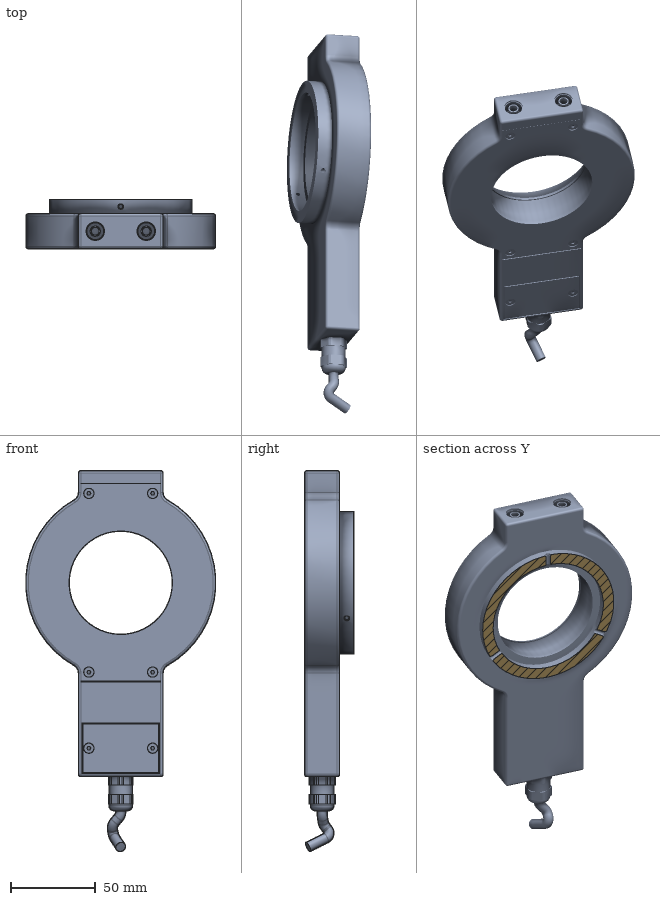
import cadquery as cq
import math

DISC_DIAMETER = 112.0
NECK_WIDTH = 50.0
HEAD_TOP = 66.0
TAIL_BOTTOM = -114.2
BODY_DEPTH = 20.7
NECK_FILLET = 5.0
EDGE_FILLET = 1.5
BORE_LIP_DIAMETER = 60.6
FRONT_LIP_LENGTH = 1.0
BACK_LIP_LENGTH = 1.5
BORE_DIAMETER = 62.0
BODY_MID_Y = BODY_DEPTH / 2

RING_DIAMETER = 84.0
RING_BORE = 70.0
RING_HEIGHT = 8.35
SET_SCREW_DIAMETER = 3.2
SET_SCREW_SINK = 1.0
SET_SCREW_CORE_DIAMETER = 2.46
SET_SCREW_ANGLES = (90, 210, 330)

HEAD_SEAM_Z = 58.4
HEAD_SEAM_WIDTH = 0.1
GROOVE_WIDTH = 0.6
GROOVE_DEPTH = 0.5
PANEL_SEAM_Z = -58.1
COVER_TOP_Z = -82.5
COVER_MARGIN = 2.1
COVER_BOTTOM_MARGIN = 1.9
SCREW_X = 18.8
SCREW_ROWS_Z = (52.6, -52.6, -97.4)
SCREW_HEAD_DIAMETER = 6.0
SCREW_HEAD_SINK = 0.5
SCREW_SOCKET_DIAMETER = 2.3
SCREW_SOCKET_DEPTH = 1.5

SOCKET_X = 15.0
SOCKET_DIAMETER = 10.0
SOCKET_RIM_DIAMETER = 10.8
SOCKET_DEPTH = 8.0
SLEEVE_DIAMETER = 6.0
SLEEVE_BORE = 4.6
SLEEVE_SINK = 1.0

GLAND_DIAMETER = 14.0
GLAND_LENGTH = 20.1
GLAND_DOME_FILLET = 3.2
NUT_ACROSS_FLATS = 14.3
NUT_CORNER_DIAMETER = 15.7
NUT_RECESS_WIDTH = 4.6
NUT_RECESS_DEPTH = 0.12
UPPER_NUT = (0.0, 4.8)
LOWER_NUT = (10.6, 5.6)

CABLE_DIAMETER = 6.0
CABLE_OVERLAP = 1.0
CABLE_CORNERS = (
    (0.0, 0.0, -136.8),
    (-5.0, 0.9, -142.6),
    (-4.7, 6.0, -148.4),
)
CABLE_BEND_RADII = (5.5, 5.0, 3.5)
CABLE_END = (0.0, -8.3, -155.57)


def front_plane(y=0.0):
    """Sketch plane facing -Y, with local x along X and local y along Z."""
    return cq.Workplane("XZ", origin=(0, y, 0))


def make_housing():
    """Disc and neck joined by concave fillets, with every outer edge rounded."""
    neck_height = HEAD_TOP - TAIL_BOTTOM
    neck_mid = (HEAD_TOP + TAIL_BOTTOM) / 2
    disc = front_plane().circle(DISC_DIAMETER / 2).extrude(-BODY_DEPTH)
    neck = front_plane().center(0, neck_mid).rect(NECK_WIDTH, neck_height).extrude(-BODY_DEPTH)
    corners = cq.selectors.BoxSelector(
        (-NECK_WIDTH, -BODY_DEPTH, -DISC_DIAMETER / 2),
        (NECK_WIDTH, 2 * BODY_DEPTH, DISC_DIAMETER / 2),
    )
    housing = disc.union(neck)
    housing = housing.edges("|Y").edges(corners).fillet(NECK_FILLET)
    housing = housing.edges("|Y").edges(">Z or <Z").fillet(EDGE_FILLET)
    return housing.faces("<Y or >Y").edges().fillet(EDGE_FILLET)


def add_ring(body):
    """Clamping ring with radial set screws, and a bore with a narrow lip at both ends of the body."""
    ring = front_plane(BODY_DEPTH).circle(RING_DIAMETER / 2).extrude(-RING_HEIGHT)
    body = body.union(ring)
    body = body.cut(front_plane().circle(BORE_LIP_DIAMETER / 2).extrude(-BODY_DEPTH))
    wide_bore_length = BODY_DEPTH - FRONT_LIP_LENGTH - BACK_LIP_LENGTH
    wide_bore = front_plane(FRONT_LIP_LENGTH).circle(BORE_DIAMETER / 2).extrude(-wide_bore_length)
    body = body.cut(wide_bore)
    body = body.cut(front_plane(BODY_DEPTH).circle(RING_BORE / 2).extrude(-RING_HEIGHT))
    return cut_set_screws(body)


def cut_set_screws(body):
    """Stepped radial holes through the ring wall."""
    center = cq.Vector(0, BODY_DEPTH + RING_HEIGHT / 2, 0)
    for angle in SET_SCREW_ANGLES:
        inward = cq.Vector(-math.cos(math.radians(angle)), 0, -math.sin(math.radians(angle)))
        mouth = center - inward * (RING_DIAMETER / 2)
        head = cq.Solid.makeCylinder(SET_SCREW_DIAMETER / 2, SET_SCREW_SINK, mouth, inward)
        core = cq.Solid.makeCylinder(SET_SCREW_CORE_DIAMETER / 2, RING_DIAMETER / 2, mouth, inward)
        body = body.cut(cq.Workplane(head)).cut(cq.Workplane(core))
    return body


def cut_front_seams(body):
    """Hairline seam below the head, groove above the panel and groove around the cover."""
    flat_width = NECK_WIDTH - 2 * EDGE_FILLET
    for seam_z, seam_width in ((HEAD_SEAM_Z, HEAD_SEAM_WIDTH), (PANEL_SEAM_Z, GROOVE_WIDTH)):
        seam = front_plane().center(0, seam_z).rect(flat_width, seam_width)
        body = body.cut(seam.extrude(-GROOVE_DEPTH))

    cover_width = NECK_WIDTH - 2 * COVER_MARGIN
    cover_bottom = TAIL_BOTTOM + COVER_BOTTOM_MARGIN
    cover_height = COVER_TOP_Z - cover_bottom
    cover_mid = (COVER_TOP_Z + cover_bottom) / 2
    cover_groove = (
        front_plane()
        .center(0, cover_mid)
        .rect(cover_width, cover_height)
        .rect(cover_width - 2 * GROOVE_WIDTH, cover_height - 2 * GROOVE_WIDTH)
    )
    return body.cut(cover_groove.extrude(-GROOVE_DEPTH))


def cut_front_screws(body):
    """Sunken screw heads with hexagon sockets."""
    places = [(side * SCREW_X, z) for z in SCREW_ROWS_Z for side in (-1, 1)]
    heads = front_plane().pushPoints(places).circle(SCREW_HEAD_DIAMETER / 2).extrude(-SCREW_HEAD_SINK)
    sockets = front_plane().pushPoints(places).polygon(6, SCREW_SOCKET_DIAMETER).extrude(-SCREW_SOCKET_DEPTH)
    return body.cut(heads).cut(sockets)


def cut_head_sockets(body):
    """Round sockets in the top of the head, each with a rim step and a central sleeve."""
    places = [(side * SOCKET_X, BODY_MID_Y) for side in (-1, 1)]
    top = cq.Workplane(origin=(0, 0, HEAD_TOP)).pushPoints(places)
    rims = top.circle(SOCKET_RIM_DIAMETER / 2).extrude(-SLEEVE_SINK)
    wells = top.circle(SOCKET_DIAMETER / 2).extrude(-SOCKET_DEPTH)
    sleeve_base = cq.Workplane(origin=(0, 0, HEAD_TOP - SOCKET_DEPTH)).pushPoints(places)
    sleeve_height = SOCKET_DEPTH - SLEEVE_SINK
    sleeves = sleeve_base.circle(SLEEVE_DIAMETER / 2).extrude(sleeve_height)
    bores = sleeve_base.circle(SLEEVE_BORE / 2).extrude(sleeve_height)
    return body.cut(rims).cut(wells).union(sleeves.cut(bores))


def make_nut(drop, height):
    """Hexagonal nut with trimmed corners and a shallow recess on each flat."""
    plane = cq.Workplane(origin=(0, BODY_MID_Y, TAIL_BOTTOM - drop))
    across_corners = NUT_ACROSS_FLATS / math.cos(math.pi / 6)
    hexagon = plane.transformed(rotate=(0, 0, 30)).polygon(6, across_corners).extrude(-height)
    nut = hexagon.intersect(plane.circle(NUT_CORNER_DIAMETER / 2).extrude(-height))
    recess_distance = NUT_ACROSS_FLATS / 2
    for index in range(6):
        recess = (
            plane.transformed(rotate=(0, 0, 60 * index))
            .center(recess_distance, 0)
            .rect(2 * NUT_RECESS_DEPTH, NUT_RECESS_WIDTH)
            .extrude(-height)
        )
        nut = nut.cut(recess)
    return nut


def make_gland():
    """Round gland body with a domed end and two nuts."""
    plane = cq.Workplane(origin=(0, BODY_MID_Y, TAIL_BOTTOM))
    gland = plane.circle(GLAND_DIAMETER / 2).extrude(-GLAND_LENGTH)
    gland = gland.faces("<Z").edges().fillet(GLAND_DOME_FILLET)
    return gland.union(make_nut(*UPPER_NUT)).union(make_nut(*LOWER_NUT))


def bend_points(before, corner, after, radius):
    """Start, middle and end of the arc that rounds a corner of the cable path."""
    back = (before - corner).normalized()
    ahead = (after - corner).normalized()
    half_angle = back.getAngle(ahead) / 2
    tangent_length = radius / math.tan(half_angle)
    middle_distance = radius / math.sin(half_angle) - radius
    middle = corner + (back + ahead).normalized() * middle_distance
    return corner + back * tangent_length, middle, corner + ahead * tangent_length


def make_cable():
    """Round cable that leaves the gland and bends forward to a free end."""
    start = cq.Vector(0, 0, TAIL_BOTTOM - GLAND_LENGTH + CABLE_OVERLAP)
    stops = [start] + [cq.Vector(*corner) for corner in CABLE_CORNERS] + [cq.Vector(*CABLE_END)]
    edges = []
    here = start
    for index, radius in enumerate(CABLE_BEND_RADII):
        arc_start, middle, arc_end = bend_points(*stops[index:index + 3], radius)
        edges.append(cq.Edge.makeLine(here, arc_start))
        edges.append(cq.Edge.makeThreePointArc(arc_start, middle, arc_end))
        here = arc_end
    edges.append(cq.Edge.makeLine(here, stops[-1]))
    path = cq.Workplane(cq.Wire.assembleEdges(edges))
    profile = cq.Workplane(origin=start.toTuple()).circle(CABLE_DIAMETER / 2)
    return profile.sweep(path).translate((0, BODY_MID_Y, 0))


body = make_housing()
body = add_ring(body)
body = cut_front_seams(body)
body = cut_front_screws(body)
body = cut_head_sockets(body)
result = body.union(make_gland()).union(make_cable())